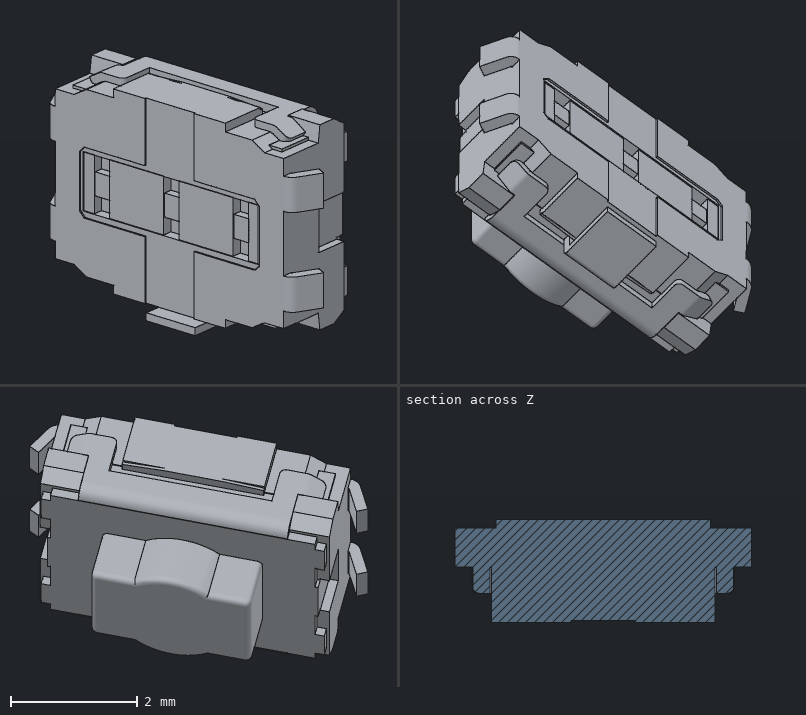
import cadquery as cq
import math


BASE_WIDTH = 4.7
BASE_HEIGHT = 3.5
BASE_DEPTH = 1.5
HALF_W = BASE_WIDTH / 2
HALF_H = BASE_HEIGHT / 2
REAR_CHAMFER_Y = 0.25
REAR_CHAMFER_Z = 0.15

SHEET = 0.15
COVER_BACK = BASE_DEPTH + SHEET
FLANGE_HALF_X = 1.7
FLANGE_Z = 1.73
FLANGE_INNER_Z = FLANGE_Z - SHEET
BEND_RADIUS = 0.25
WINDOW_HALF_X = 1.325
WINDOW_TOP_Y = 1.105
EAR_HALF_X = 2.3
EAR_Z = (0.89, 1.4)
PLATE_HALF_X = 2.15
PLATE_HALF_Z = 1.54
SIDE_TAB_X = 2.2
SIDE_TAB_HALF_Z = 0.39
SIDE_TAB_Y = 0.875
SIDE_TAB_GAP = 0.03

LEG_END_Y = 0.46
LEG_TIP_X = 2.075
LEG_BEND_X = 1.79
LEG_ANGLE = 30
LEG_BEND_RADIUS = SHEET
LEG_CORNER_RADIUS = 0.1

BLOCK_HALF_X = 1.15
BLOCK_Y = 0.925
LEDGE_Z = 1.6
LEDGE_Y = 0.875
POCKET_Z = 1.45
POCKET_SLOPE_END_X = 1.96
POCKET_Y_OUTER = 0.9
POCKET_Y_INNER = 0.86
PAD_X = (1.88, PLATE_HALF_X)
PAD_Y = (0.2, POCKET_Y_INNER)
PAD_RISE = 0.05
BEVEL_START_X = 0.47
BEVEL_DROP = 0.04

BAND_HALF_X = 0.505
RECESS_DEPTH = 0.03
OCTAGON_HALF_X = 1.85
OCTAGON_HALF_Z = 0.605
OCTAGON_CHAMFER = 0.1
INSERT_HALF_X = 1.8
INSERT_HALF_Z = 0.505
INSERT_Y = 0.05
SLOT_PITCH = 1.425
SLOT_WIDTH = 0.315
SLOT_Y = 0.07
PIT_Y = 0.23
PIT_INNER_Z = 0.205

BUTTON_END_Y = 2.5
BUTTON_RADIUS = 1.0
BUTTON_HALF_X = 1.3
BUTTON_HALF_Z = 0.8
BUTTON_ROUND = 0.1

LEAD_TIP_X = 2.75
LEAD_TIP_Y = 0.51
LEAD_THICKNESS = 0.19
LEAD_ANGLE = 62.5
LEAD_BEND_RADIUS = 0.2
LEAD_ROOT_X = 2.1
LEAD_WIDTH = 0.6
LEAD_Z = 0.85
GROUND_HALF_X = 0.505
GROUND_THICKNESS = 0.14
GROUND_BOTTOM_Z = -2.05
GROUND_BACK_Y = 1.1
GROUND_ROUND = 0.1


def box(x0, x1, y0, y1, z0, z1):
    """Axis-aligned box between two opposite corners."""
    return cq.Workplane("XY").box(x1 - x0, y1 - y0, z1 - z0, centered=False).translate((x0, y0, z0))


def extrude_along_y(outline, y0, y1):
    """Extrude an XZ outline from y0 to y1."""
    return cq.Workplane("XZ", origin=(0, y0, 0)).polyline(outline).close().extrude(y0 - y1)


def extrude_along_x(outline, half_x):
    """Extrude a YZ outline symmetrically about the YZ plane."""
    return cq.Workplane("YZ").polyline(outline).close().extrude(half_x, both=True)


def upper_and_lower(shape):
    return shape.union(shape.mirror("XY"))


def four_corners(shape):
    both_sides = shape.union(shape.mirror("YZ"))
    return upper_and_lower(both_sides)


def make_base_blank():
    outline = [
        (0, -HALF_H),
        (BASE_DEPTH - REAR_CHAMFER_Y, -HALF_H),
        (BASE_DEPTH, -HALF_H + REAR_CHAMFER_Z),
        (BASE_DEPTH, HALF_H - REAR_CHAMFER_Z),
        (BASE_DEPTH - REAR_CHAMFER_Y, HALF_H),
        (0, HALF_H),
    ]
    return extrude_along_x(outline, HALF_W)


def make_corner_pocket():
    """Pocket under one leg, bounded by a lean end wall and a sloped floor."""
    floor = [
        (BLOCK_HALF_X, LEDGE_Z),
        (FLANGE_HALF_X, LEDGE_Z),
        (POCKET_SLOPE_END_X, POCKET_Z),
        (HALF_W, POCKET_Z),
        (HALF_W, HALF_H),
        (BLOCK_HALF_X, HALF_H),
    ]
    end_wall = [
        (0, POCKET_Z),
        (POCKET_Y_INNER, POCKET_Z),
        (POCKET_Y_OUTER, HALF_H),
        (0, HALF_H),
    ]
    return extrude_along_y(floor, 0, BASE_DEPTH).intersect(extrude_along_x(end_wall, HALF_W))


def make_flange_seat():
    """Recess that takes the folded flange, stepped around the central block."""
    seat = box(-FLANGE_HALF_X, FLANGE_HALF_X, BLOCK_Y, BASE_DEPTH, FLANGE_INNER_Z, HALF_H)
    for side in (-1, 1):
        x0, x1 = sorted((side * BLOCK_HALF_X, side * FLANGE_HALF_X))
        seat = seat.union(box(x0, x1, 0, LEDGE_Y, LEDGE_Z, HALF_H))
        seat = seat.union(box(x0, x1, LEDGE_Y, BASE_DEPTH, FLANGE_INNER_Z, HALF_H))
    return seat


def make_block_bevel():
    """Shallow bevel on one rear end of the central block."""
    outline = [
        (BEVEL_START_X, HALF_H),
        (BLOCK_HALF_X, HALF_H),
        (BLOCK_HALF_X, HALF_H - BEVEL_DROP),
    ]
    return extrude_along_y(outline, LEDGE_Y, BLOCK_Y)


def make_pad():
    return box(*PAD_X, *PAD_Y, POCKET_Z, POCKET_Z + PAD_RISE)


def make_side_slot():
    slot_half_z = SIDE_TAB_HALF_Z + SIDE_TAB_GAP
    return box(SIDE_TAB_X, HALF_W, SIDE_TAB_Y, BASE_DEPTH, -slot_half_z, slot_half_z)


def cut_terminal_face(body):
    octagon = box(-OCTAGON_HALF_X, OCTAGON_HALF_X, 0, RECESS_DEPTH, -OCTAGON_HALF_Z, OCTAGON_HALF_Z)
    octagon = octagon.edges("|Y").chamfer(OCTAGON_CHAMFER)
    body = body.cut(octagon)
    body = body.cut(box(-BAND_HALF_X, BAND_HALF_X, 0, RECESS_DEPTH, -HALF_H, HALF_H))
    body = body.cut(box(-INSERT_HALF_X, INSERT_HALF_X, 0, INSERT_Y, -INSERT_HALF_Z, INSERT_HALF_Z))
    for index in (-1, 0, 1):
        x0 = index * SLOT_PITCH - SLOT_WIDTH / 2
        x1 = x0 + SLOT_WIDTH
        body = body.cut(box(x0, x1, 0, SLOT_Y, -INSERT_HALF_Z, INSERT_HALF_Z))
        body = body.cut(upper_and_lower(box(x0, x1, 0, PIT_Y, PIT_INNER_Z, INSERT_HALF_Z)))
    return body


def make_base():
    base = make_base_blank()
    base = base.cut(four_corners(make_corner_pocket()))
    base = base.cut(upper_and_lower(make_flange_seat()))
    base = base.cut(four_corners(make_block_bevel()))
    side_slot = make_side_slot()
    base = base.cut(side_slot).cut(side_slot.mirror("YZ"))
    base = base.union(four_corners(make_pad()))
    return cut_terminal_face(base)


def make_cover_plate():
    """Flat plate plus the folded upper and lower flanges."""
    channel = box(-FLANGE_HALF_X, FLANGE_HALF_X, WINDOW_TOP_Y, COVER_BACK, -FLANGE_Z, FLANGE_Z)
    channel = channel.edges("|X and >Y").fillet(BEND_RADIUS)
    hollow = box(-FLANGE_HALF_X, FLANGE_HALF_X, WINDOW_TOP_Y, BASE_DEPTH, -FLANGE_INNER_Z, FLANGE_INNER_Z)
    hollow = hollow.edges("|X and >Y").fillet(BEND_RADIUS - SHEET)
    plate = channel.cut(hollow)
    plate = plate.union(box(-PLATE_HALF_X, PLATE_HALF_X, BASE_DEPTH, COVER_BACK, -PLATE_HALF_Z, PLATE_HALF_Z))
    ears = box(-EAR_HALF_X, EAR_HALF_X, BASE_DEPTH, COVER_BACK, *EAR_Z)
    return plate.union(upper_and_lower(ears))


def make_side_tab():
    return box(
        SIDE_TAB_X - SHEET, SIDE_TAB_X, SIDE_TAB_Y, COVER_BACK, -SIDE_TAB_HALF_Z, SIDE_TAB_HALF_Z
    )


def make_leg():
    """One flange leg whose outer end is bent inwards over the corner pocket."""
    angle = math.radians(LEG_ANGLE)
    normal_x = math.sin(angle) * SHEET
    normal_z = math.cos(angle) * SHEET
    tip_z = FLANGE_Z - (LEG_TIP_X - LEG_BEND_X) * math.tan(angle)
    strip = [
        (WINDOW_HALF_X, FLANGE_INNER_Z),
        (WINDOW_HALF_X, FLANGE_Z),
        (LEG_BEND_X, FLANGE_Z),
        (LEG_TIP_X, tip_z),
        (LEG_TIP_X - normal_x, tip_z - normal_z),
        (LEG_BEND_X - SHEET * math.tan(angle / 2), FLANGE_INNER_Z),
    ]
    leg = extrude_along_y(strip, LEG_END_Y, POCKET_Y_OUTER)
    outer_bend = cq.selectors.NearestToPointSelector((LEG_BEND_X, (LEG_END_Y + POCKET_Y_OUTER) / 2, FLANGE_Z))
    leg = leg.edges("|Y").edges(outer_bend).fillet(LEG_BEND_RADIUS)
    tip_corner = (LEG_TIP_X - normal_x / 2, LEG_END_Y, tip_z - normal_z / 2)
    leg = leg.edges(cq.selectors.NearestToPointSelector(tip_corner)).fillet(LEG_CORNER_RADIUS)
    leg = leg.edges("|Z and <Y").fillet(LEG_CORNER_RADIUS)
    root = box(WINDOW_HALF_X, FLANGE_HALF_X, POCKET_Y_INNER, WINDOW_TOP_Y, FLANGE_INNER_Z, FLANGE_Z)
    return leg.union(root)


def make_cover():
    cover = make_cover_plate().union(four_corners(make_leg()))
    tab = make_side_tab()
    return cover.union(tab).union(tab.mirror("YZ"))


def make_button():
    """Round button with a flat-sided wing on each side."""
    length = BUTTON_END_Y - BASE_DEPTH
    disc = cq.Workplane("XZ", origin=(0, BASE_DEPTH, 0)).circle(BUTTON_RADIUS).extrude(-length)
    wings = box(-BUTTON_HALF_X, BUTTON_HALF_X, BASE_DEPTH, BUTTON_END_Y, -BUTTON_HALF_Z, BUTTON_HALF_Z)
    wings = wings.edges("|Y").fillet(BUTTON_ROUND)
    return disc.union(wings).faces(">Y").edges().fillet(BUTTON_ROUND)


def make_lead(z_center):
    """Solder lead leaving the base on the +X side and bent up towards +Y."""
    angle = math.radians(LEAD_ANGLE)
    knee_x = LEAD_TIP_X - LEAD_TIP_Y / math.tan(angle)
    inner_knee_x = knee_x - LEAD_THICKNESS * math.tan(angle / 2)
    inner_tip_x = LEAD_TIP_X - LEAD_THICKNESS * math.sin(angle)
    inner_tip_y = LEAD_TIP_Y + LEAD_THICKNESS * math.cos(angle)
    outline = [
        (LEAD_ROOT_X, 0),
        (knee_x, 0),
        (LEAD_TIP_X, LEAD_TIP_Y),
        (inner_tip_x, inner_tip_y),
        (inner_knee_x, LEAD_THICKNESS),
        (LEAD_ROOT_X, LEAD_THICKNESS),
    ]
    lead = cq.Workplane("XY", origin=(0, 0, z_center - LEAD_WIDTH / 2))
    lead = lead.polyline(outline).close().extrude(LEAD_WIDTH)
    outer_knee = cq.selectors.NearestToPointSelector((knee_x, 0, z_center))
    return lead.edges("|Z").edges(outer_knee).fillet(LEAD_BEND_RADIUS)


def make_ground_tab():
    """L-shaped tab under the base, running back to the terminal face."""
    inner_z = GROUND_BOTTOM_Z + GROUND_THICKNESS
    inner_y = GROUND_BACK_Y - GROUND_THICKNESS
    outline = [
        (RECESS_DEPTH, GROUND_BOTTOM_Z),
        (GROUND_BACK_Y, GROUND_BOTTOM_Z),
        (GROUND_BACK_Y, -LEDGE_Z + SHEET),
        (inner_y, -LEDGE_Z + SHEET),
        (inner_y, inner_z),
        (RECESS_DEPTH, inner_z),
    ]
    tab = extrude_along_x(outline, GROUND_HALF_X)
    outer_knee = cq.selectors.NearestToPointSelector((0, GROUND_BACK_Y, GROUND_BOTTOM_Z))
    return tab.edges("|X").edges(outer_knee).fillet(GROUND_ROUND)


result = make_base().union(make_cover()).union(make_button()).union(make_ground_tab())
result = result.union(four_corners(make_lead(LEAD_Z)))